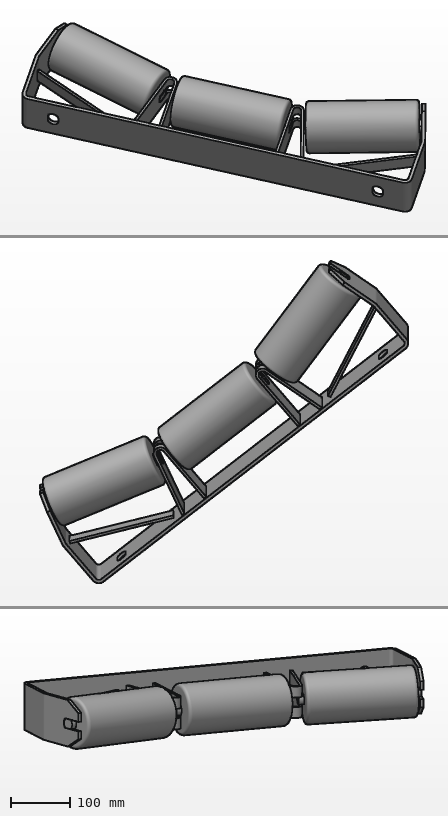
import cadquery as cq
import math


length = 680.0
frame_width = 80.0
frame_thickness = 6.0
bend_outer_radius = 12.0
fold_y = 93.0
leg_top_y = 184.0
trough_angle = 15.0
leg_bevel_length = 29.0
leg_bevel_width = 18.0
mount_slot_x = 283.5
mount_slot_width = 18.5
mount_slot_length = 27.0

bracket_thickness = 5.0
bracket_width = 54.5
bracket_face_x = 99.0
bracket_top_y = 126.0
arch_radius = 11.5

brace_thickness = 5.0
brace_width = 27.0
brace_foot_x = 170.0
brace_leg_y = 81.0

roller_length = 190.5
roller_radius = 44.0
roller_edge_radius = 5.5
axle_diameter = 22.0
axle_flat_width = 16.0
axle_y = 99.0
side_axle_height = 67.0
inner_axle_z = -8.0
outer_axle_z = -1.0
slot_reach = 81.5

sin_trough = math.sin(math.radians(trough_angle))
cos_trough = math.cos(math.radians(trough_angle))
half_length = length / 2
inner_x = half_length - frame_thickness
fold_shift = frame_thickness * math.tan(math.radians(trough_angle / 2))

bend_x = bracket_face_x + arch_radius
bend_y = bracket_top_y - arch_radius
bracket_face_distance = bend_x * cos_trough + bend_y * sin_trough + arch_radius
leg_face_distance = half_length * cos_trough + fold_y * sin_trough - frame_thickness
side_span = leg_face_distance - bracket_face_distance
side_middle = (leg_face_distance + bracket_face_distance) / 2
roller_tilt = math.degrees(math.asin((outer_axle_z - inner_axle_z) / side_span))


def place_centre(shape):
    """Move a shape from the roller axes (axis along X) to the centre roller."""
    return shape.translate((0, axle_y, inner_axle_z))


def place_side(shape):
    """Move a shape from the roller axes (axis along X) to the right-hand side roller."""
    middle_x = side_middle * cos_trough - side_axle_height * sin_trough
    middle_y = side_middle * sin_trough + side_axle_height * cos_trough
    tilted = shape.rotate((0, 0, 0), (0, 1, 0), -roller_tilt)
    turned = tilted.rotate((0, 0, 0), (0, 0, 1), trough_angle)
    return turned.translate((middle_x, middle_y, (inner_axle_z + outer_axle_z) / 2))


def bar_along_x(radius, bar_length):
    """Round bar along X, centred on the origin."""
    return cq.Workplane("YZ", origin=(-bar_length / 2, 0, 0)).circle(radius).extrude(bar_length)


def make_axle(axle_length):
    """Round axle with two flats, lying along X."""
    bar = bar_along_x(axle_diameter / 2, axle_length)
    return bar.intersect(cq.Workplane("XY").box(axle_length, axle_diameter, axle_flat_width))


def make_roller(axle_length):
    """Roller shell and its axle as one body, lying along X."""
    shell = bar_along_x(roller_radius, roller_length)
    shell = shell.faces("<X or >X").edges().fillet(roller_edge_radius)
    return shell.union(make_axle(axle_length))


def make_slot(slot_length):
    """Cutter for the axle seats and the channels that open from them towards +Y."""
    channel = cq.Workplane("XY").box(slot_length, slot_reach, axle_flat_width)
    return make_axle(slot_length).union(channel.translate((0, slot_reach / 2, 0)))


centre_slot = place_centre(make_slot(2 * bend_x))
side_slot = place_side(make_slot(side_span + 2 * arch_radius))


def mirror_x(shape):
    """Left-hand copy of a right-hand shape."""
    return shape.mirror("YZ")


def strip_outline():
    """Sharp-cornered plan of the frame strip, mitred at the folds."""
    fold_lean = (leg_top_y - fold_y) * sin_trough / cos_trough
    tip_x = half_length - fold_lean
    outer = [(half_length, 0), (half_length, fold_y), (tip_x, leg_top_y)]
    inner = [
        (tip_x - frame_thickness * cos_trough, leg_top_y - frame_thickness * sin_trough),
        (inner_x, fold_y - fold_shift),
        (inner_x, frame_thickness),
    ]
    right_half = outer + inner
    left_half = [(-x, y) for x, y in reversed(right_half)]
    return right_half + left_half


def round_bends(strip):
    """Round the outside and inside of the base corners and of the folds."""
    bend_inner_radius = bend_outer_radius - frame_thickness
    bends = [
        (half_length, 0, bend_outer_radius),
        (inner_x, frame_thickness, bend_inner_radius),
        (half_length, fold_y, bend_outer_radius),
        (inner_x, fold_y - fold_shift, bend_inner_radius),
    ]
    for x, y, radius in bends:
        for corner_x in (-x, x):
            corner = cq.selectors.NearestToPointSelector((corner_x, y, 0))
            strip = strip.edges("|Z").edges(corner).fillet(radius)
    return strip


def make_leg_bevels():
    """Cutters that bevel both edges of the right-hand leg end, across the folded leg."""
    leg_end = (leg_top_y - fold_y) / cos_trough
    bevel_start = leg_end - leg_bevel_length
    half_width = frame_width / 2
    margin = frame_thickness
    upper = (
        cq.Workplane("YZ", origin=(margin, 0, 0))
        .polyline([
            (bevel_start, half_width),
            (leg_end, half_width - leg_bevel_width),
            (leg_end + margin, half_width - leg_bevel_width),
            (leg_end + margin, half_width + margin),
            (bevel_start, half_width + margin),
        ])
        .close()
        .extrude(-frame_thickness - 2 * margin)
    )
    cutters = upper.union(upper.mirror("XY"))
    return cutters.rotate((0, 0, 0), (0, 0, 1), trough_angle).translate((half_length, fold_y, 0))


def make_mount_slots():
    return (
        cq.Workplane("XZ")
        .pushPoints([(-mount_slot_x, 0), (mount_slot_x, 0)])
        .slot2D(mount_slot_length, mount_slot_width, 90)
        .extrude(-frame_thickness)
    )


def make_frame():
    strip = cq.Workplane("XY").polyline(strip_outline()).close().extrude(frame_width / 2, both=True)
    strip = round_bends(strip).cut(make_mount_slots())
    for cutter in (make_leg_bevels(), side_slot):
        strip = strip.cut(cutter).cut(mirror_x(cutter))
    return strip


def make_bracket():
    """Right-hand bracket, standing on the base between the centre and a side roller."""
    inner_radius = arch_radius - bracket_thickness
    middle_angle = math.radians((180 + trough_angle) / 2)

    def bend_point(radius, angle):
        return (bend_x + radius * math.cos(angle), bend_y + radius * math.sin(angle))

    def slanted_foot(radius):
        tangent_x, tangent_y = bend_point(radius, math.radians(trough_angle))
        drop = tangent_y - frame_thickness
        return (tangent_x + drop * sin_trough / cos_trough, frame_thickness)

    bracket = (
        cq.Workplane("XY", origin=(0, 0, inner_axle_z - bracket_width / 2))
        .moveTo(bracket_face_x, frame_thickness)
        .lineTo(bracket_face_x, bend_y)
        .threePointArc(
            bend_point(arch_radius, middle_angle),
            bend_point(arch_radius, math.radians(trough_angle)),
        )
        .lineTo(*slanted_foot(arch_radius))
        .lineTo(*slanted_foot(inner_radius))
        .lineTo(*bend_point(inner_radius, math.radians(trough_angle)))
        .threePointArc(
            bend_point(inner_radius, middle_angle),
            (bracket_face_x + bracket_thickness, bend_y),
        )
        .lineTo(bracket_face_x + bracket_thickness, frame_thickness)
        .close()
        .extrude(bracket_width)
    )
    return bracket.cut(centre_slot).cut(side_slot)


def make_brace():
    """Right-hand flat brace whose lower edges rest on the base and on the upright leg."""
    run = inner_x - brace_foot_x
    rise = brace_leg_y - frame_thickness
    brace = cq.Workplane("XY").box(
        math.hypot(run, rise), brace_thickness, brace_width, centered=(False, False, True)
    )
    brace = brace.rotate((0, 0, 0), (0, 0, 1), math.degrees(math.atan2(rise, run)))
    return brace.translate((brace_foot_x, frame_thickness, 0))


frame = make_frame()
bracket = make_bracket()
brace = make_brace()
centre_roller = place_centre(make_roller(2 * (bracket_face_x + bracket_thickness)))
side_roller = place_side(make_roller(side_span + frame_thickness + bracket_thickness))

bodies = [frame.val(), centre_roller.val()]
for part in (bracket, brace, side_roller):
    bodies += [part.val(), mirror_x(part).val()]

result = cq.Compound.makeCompound(bodies)